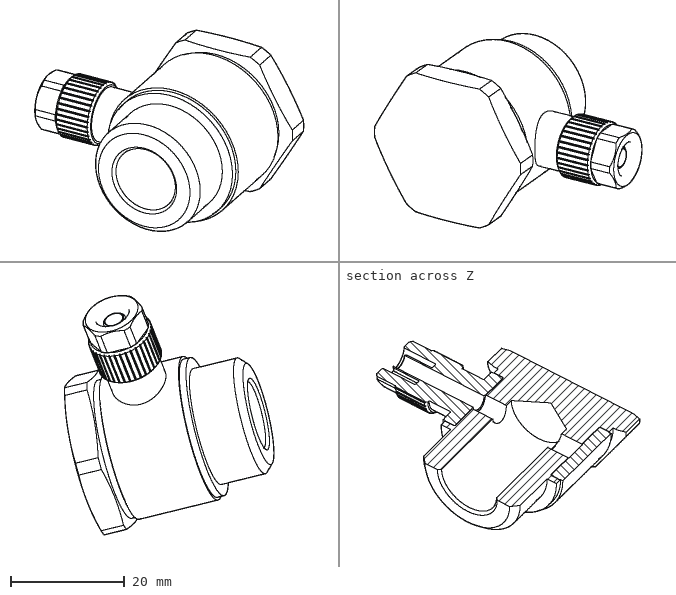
import cadquery as cq
import math


ring_radius = 13.0
ring_width = 14.55
shank_radius = 10.5

collar_radius = 12.52
head_collar_width = 1.25
plug_collar_width = 1.25
head_thickness = 5.03
head_across_flats = 27.0
head_corner_radius = 15.0
head_face_radius = 13.35
head_chamfer_angle = 15.0
plug_length = 9.45
plug_chamfer = 1.32

bore_radius = 5.95
bore_chamfer = 0.55
bore_end_past_axis = 3.55
drill_point_angle = 118.0
cross_hole_radius = 2.05

spigot_reach = 29.1
spigot_hex_length = 4.4
spigot_hex_across_flats = 9.95
spigot_hex_corner_radius = 5.42
spigot_face_radius = 4.85
spigot_hex_chamfer = 0.5
knurl_length = 7.05
knurl_radius = 5.78
knurl_chamfer = 0.45
neck_radius = 5.0

groove_count = 36
groove_width = 0.25
groove_depth = 0.15

socket_radius = 3.1
socket_depth = 7.05
socket_mouth_fillet = 0.45
nipple_depth = 1.32
nipple_radius = 2.05
nipple_rim_radius = 1.75
nipple_chamfer = 0.25
passage_radius = 1.65

ring_front = -ring_width / 2
ring_back = ring_width / 2
plug_shoulder = ring_front - plug_collar_width
plug_end = plug_shoulder - plug_length
head_front = ring_back + head_collar_width
head_back = head_front + head_thickness

spigot_tip = -spigot_reach
knurl_start = spigot_tip + spigot_hex_length
knurl_end = knurl_start + knurl_length


def revolve_about_y(points):
    """Revolve an outline of (radius, y) points about the bolt axis."""
    return cq.Workplane("XY").polyline(points).close().revolve(360, (0, 0), (0, 1))


def revolve_about_x(points):
    """Revolve an outline of (x, radius) points about the spigot axis."""
    return cq.Workplane("XY").polyline(points).close().revolve(360, (0, 0), (1, 0))


def cylinder_along_x(radius, start, end):
    return cq.Workplane("YZ", origin=(start, 0, 0)).circle(radius).extrude(end - start)


def across_corners(across_flats):
    """Corner-to-corner size of a regular hexagon."""
    return across_flats / math.cos(math.radians(30))


def bolt_head():
    """Hexagon with flats facing +Z and -Z, corners turned off and both faces chamfered."""
    corner_drop = (head_corner_radius - head_face_radius) * math.tan(math.radians(head_chamfer_angle))
    hexagon = (
        cq.Workplane("XZ", origin=(0, head_back, 0))
        .polygon(6, across_corners(head_across_flats))
        .extrude(head_thickness)
    )
    turned_blank = revolve_about_y([
        (0, head_front),
        (head_face_radius, head_front),
        (head_corner_radius, head_front + corner_drop),
        (head_corner_radius, head_back - corner_drop),
        (head_face_radius, head_back),
        (0, head_back),
    ])
    return hexagon.intersect(turned_blank)


def bolt_stem():
    """Both collars, the shank between them and the chamfered plug end."""
    return revolve_about_y([
        (0, head_front),
        (collar_radius, head_front),
        (collar_radius, ring_back),
        (shank_radius, ring_back),
        (shank_radius, ring_front),
        (collar_radius, ring_front),
        (collar_radius, plug_shoulder),
        (shank_radius, plug_shoulder),
        (shank_radius, plug_end + plug_chamfer),
        (shank_radius - plug_chamfer, plug_end),
        (0, plug_end),
    ])


def bolt_bore():
    """Blind bore with a chamfered mouth and a conical drill point."""
    point_length = bore_radius / math.tan(math.radians(drill_point_angle / 2))
    return revolve_about_y([
        (0, plug_end),
        (bore_radius + bore_chamfer, plug_end),
        (bore_radius, plug_end + bore_chamfer),
        (bore_radius, bore_end_past_axis),
        (0, bore_end_past_axis + point_length),
    ])


def make_bolt():
    cross_hole = cylinder_along_x(cross_hole_radius, -shank_radius, shank_radius)
    return bolt_head().union(bolt_stem()).cut(bolt_bore()).cut(cross_hole)


def spigot_hexagon():
    """Hexagon with flats facing +Z and -Z, corners turned off and the outer end chamfered."""
    hexagon = (
        cq.Workplane("YZ", origin=(spigot_tip, 0, 0))
        .polygon(6, across_corners(spigot_hex_across_flats))
        .extrude(spigot_hex_length)
    )
    turned_blank = revolve_about_x([
        (spigot_tip, 0),
        (spigot_tip, spigot_face_radius),
        (spigot_tip + spigot_hex_chamfer, spigot_hex_corner_radius),
        (knurl_start, spigot_hex_corner_radius),
        (knurl_start, 0),
    ])
    return hexagon.intersect(turned_blank)


def knurled_collar():
    """Collar chamfered at both ends with V grooves along its whole length."""
    collar = cylinder_along_x(knurl_radius, knurl_start, knurl_end).edges().chamfer(knurl_chamfer)
    groove = (
        cq.Workplane("YZ", origin=(knurl_start, 0, 0))
        .polyline([
            (knurl_radius - groove_depth, 0),
            (knurl_radius, groove_width / 2),
            (knurl_radius + groove_depth, 0),
            (knurl_radius, -groove_width / 2),
        ])
        .close()
        .extrude(knurl_length)
    )
    for index in range(groove_count):
        collar = collar.cut(groove.rotate((0, 0, 0), (1, 0, 0), index * 360 / groove_count))
    return collar


def spigot_socket():
    """Space around the nipple, with a rounded mouth."""
    socket_floor = spigot_tip + socket_depth
    nipple_tip = spigot_tip + nipple_depth
    return (
        cq.Workplane("XY")
        .moveTo(spigot_tip, 0)
        .lineTo(spigot_tip, socket_radius + socket_mouth_fillet)
        .radiusArc((spigot_tip + socket_mouth_fillet, socket_radius), -socket_mouth_fillet)
        .lineTo(socket_floor, socket_radius)
        .lineTo(socket_floor, nipple_radius)
        .lineTo(nipple_tip + nipple_chamfer, nipple_radius)
        .lineTo(nipple_tip, nipple_rim_radius)
        .lineTo(nipple_tip, 0)
        .close()
        .revolve(360, (0, 0), (1, 0))
    )


def make_swivel_ring():
    band = cq.Workplane("XZ", origin=(0, ring_back, 0)).circle(ring_radius).extrude(ring_width)
    ring_bore = cq.Workplane("XZ", origin=(0, ring_back, 0)).circle(shank_radius).extrude(ring_width)
    neck = cylinder_along_x(neck_radius, knurl_end, 0)
    body = band.union(neck).union(knurled_collar()).union(spigot_hexagon())
    passage = cylinder_along_x(passage_radius, spigot_tip, 0)
    return body.cut(ring_bore).cut(spigot_socket()).cut(passage)


bolt = make_bolt()
swivel_ring = make_swivel_ring()

result = cq.Compound.makeCompound([bolt.solids().val(), swivel_ring.solids().val()])